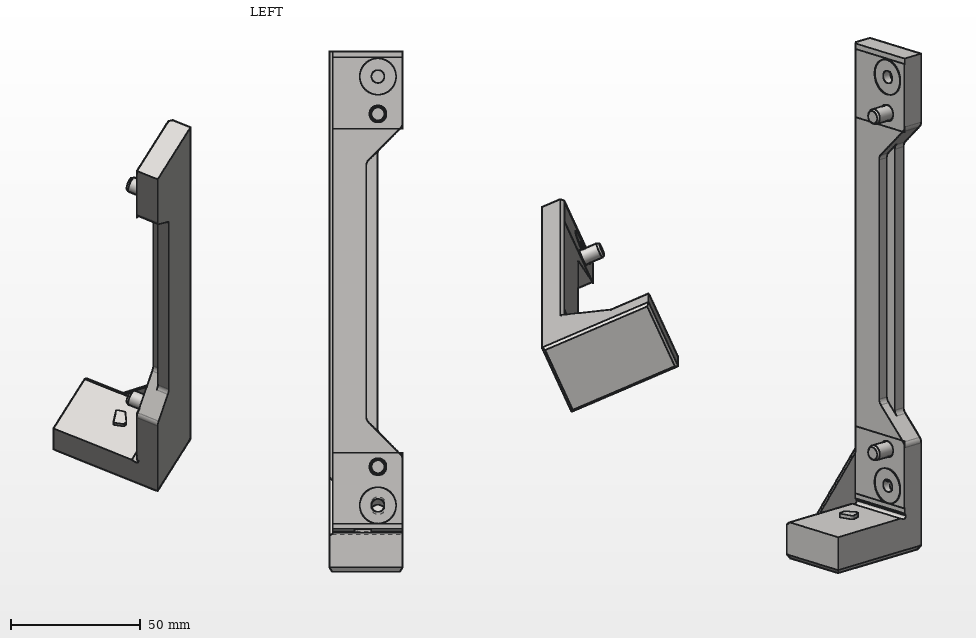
import cadquery as cq

LENGTH = 45.0
WIDTH = 28.2
HEIGHT = 200.6

COLUMN_THICKNESS = 9.0
COLUMN_FACE_X = LENGTH - COLUMN_THICKNESS
FOOT_TOP_Z = 15.0
FOOT_BEVEL_HEIGHT = 1.7
FOOT_BEVEL_INSET = 1.0
COLUMN_CHAMFER = 1.2
FOOT_CHAMFER_WIDTH = 1.5
FOOT_CHAMFER_HEIGHT = 1.2

WAIST_LOW_Z = 44.5
WAIST_HIGH_Z = 171.8
FRONT_LAYER_THICKNESS = 4.2
FRONT_LAYER_EDGE_Y = 14.0
REAR_LAYER_EDGE_Y = 9.6
WAIST_OUTER_RADIUS = 2.9
WAIST_INNER_RADIUS = 3.0

GUSSET_THICKNESS = 1.2
GUSSET_RISE = 20.3
GUSSET_RUN = 19.0
GUSSET_EMBED = 1.2

RELIEF_RUN = 2.2
RELIEF_RISE = 1.6
RELIEF_DEPTH = 0.6

FASTENER_Y = 9.5
PAD_HEIGHT = 0.1
SEAT_DIAMETER = 14.0
SEAT_DEPTH = 0.3
SCREW_HOLE_DIAMETER = 5.0
SCREW_HOLE_DEPTH = 4.0
ELBOW_HALF_LENGTH = 2.2
LOW_SCREW_Z = 25.6
HIGH_SCREW_Z = 190.9
LOW_PIN_Z = 40.5
HIGH_PIN_Z = 176.5
LOW_PAD_Z = (18.6, 45.8)
HIGH_PAD_Z = (170.8, 198.4)

PIN_DIAMETER = 6.0
PIN_PROTRUSION = 8.0
PIN_SEAT_DEPTH = 8.0
PIN_CHAMFER_LENGTH = 1.0
PIN_CHAMFER_RADIAL = 0.5
PIN_HOLE_CHAMFER = 0.3

STOP_HEIGHT = 1.5
STOP_CORNER_RADIUS = 0.5
STOP_CORNERS = [(18.1, 17.9), (21.7, 18.6), (24.3, 14.4), (23.8, 13.0), (19.8, 11.9)]

PICK_MARGIN = 0.1


def box(x_range, y_range, z_range):
    (x0, x1), (y0, y1), (z0, z1) = x_range, y_range, z_range
    return cq.Workplane("XY").box(x1 - x0, y1 - y0, z1 - z0, centered=False).translate((x0, y0, z0))


def x_cylinder(diameter, x_start, x_end, z):
    """Cylinder along X at the fastener line."""
    disc = cq.Workplane("YZ", origin=(x_start, FASTENER_Y, z)).circle(diameter / 2)
    return disc.extrude(x_end - x_start)


def waist_cut(x_start, x_end, edge_y):
    """Trapezoidal recess into the open side of the column, with 45 degree ends."""
    cut = (
        cq.Workplane("YZ", origin=(x_start, 0, 0))
        .moveTo(0, WAIST_LOW_Z)
        .lineTo(edge_y, WAIST_LOW_Z + edge_y)
        .lineTo(edge_y, WAIST_HIGH_Z - edge_y)
        .lineTo(0, WAIST_HIGH_Z)
        .close()
        .extrude(x_end - x_start)
    )
    inner_edges = cq.selectors.BoxSelector(
        (x_start, edge_y - PICK_MARGIN, 0),
        (x_end, edge_y + PICK_MARGIN, HEIGHT),
    )
    return cut.edges("|X").edges(inner_edges).fillet(WAIST_INNER_RADIUS)


def make_column():
    column = box((COLUMN_FACE_X, LENGTH), (0, WIDTH), (FOOT_BEVEL_HEIGHT, HEIGHT))
    column = column.edges("|Z and <X and >Y").chamfer(COLUMN_CHAMFER)
    layer_x = COLUMN_FACE_X + FRONT_LAYER_THICKNESS
    column = column.cut(waist_cut(layer_x, LENGTH, REAR_LAYER_EDGE_Y))
    column = column.cut(waist_cut(COLUMN_FACE_X, layer_x, FRONT_LAYER_EDGE_Y))
    for z in (WAIST_LOW_Z, WAIST_HIGH_Z):
        corner = cq.selectors.BoxSelector(
            (COLUMN_FACE_X, -PICK_MARGIN, z - PICK_MARGIN),
            (LENGTH, PICK_MARGIN, z + PICK_MARGIN),
        )
        column = column.edges(corner).fillet(WAIST_OUTER_RADIUS)
    return column


def make_foot():
    """Block with a bevel around its underside and a chamfer along its closed side."""
    block = box((0, LENGTH), (0, WIDTH), (FOOT_BEVEL_HEIGHT, FOOT_TOP_Z))
    bevel = (
        cq.Workplane("XY", origin=(LENGTH / 2, WIDTH / 2, 0))
        .rect(LENGTH - 2 * FOOT_BEVEL_INSET, WIDTH - 2 * FOOT_BEVEL_INSET)
        .workplane(offset=FOOT_BEVEL_HEIGHT)
        .rect(LENGTH, WIDTH)
        .loft(ruled=True)
    )
    corner = (
        cq.Workplane("YZ")
        .moveTo(WIDTH, FOOT_TOP_Z)
        .lineTo(WIDTH - FOOT_CHAMFER_WIDTH, FOOT_TOP_Z)
        .lineTo(WIDTH, FOOT_TOP_Z - FOOT_CHAMFER_HEIGHT)
        .close()
        .extrude(LENGTH)
    )
    return block.union(bevel).cut(corner)


def make_gusset():
    """Thin triangular web, embedded far enough to fill the chamfers it stands on."""
    return (
        cq.Workplane("XZ", origin=(0, WIDTH, 0))
        .moveTo(COLUMN_FACE_X - GUSSET_RUN - GUSSET_EMBED, FOOT_TOP_Z - GUSSET_EMBED)
        .lineTo(COLUMN_FACE_X + GUSSET_EMBED, FOOT_TOP_Z - GUSSET_EMBED)
        .lineTo(COLUMN_FACE_X + GUSSET_EMBED, FOOT_TOP_Z + GUSSET_RISE + GUSSET_EMBED)
        .close()
        .extrude(GUSSET_THICKNESS)
    )


def make_relief():
    """Shallow groove along the inner corner, sloping gently into the foot."""
    return (
        cq.Workplane("XZ", origin=(0, WIDTH - GUSSET_THICKNESS, 0))
        .moveTo(COLUMN_FACE_X - RELIEF_RUN, FOOT_TOP_Z)
        .lineTo(COLUMN_FACE_X - RELIEF_DEPTH, FOOT_TOP_Z - RELIEF_DEPTH)
        .threePointArc(
            (COLUMN_FACE_X + RELIEF_DEPTH / 2, FOOT_TOP_Z - RELIEF_DEPTH / 2),
            (COLUMN_FACE_X + RELIEF_DEPTH, FOOT_TOP_Z + RELIEF_DEPTH),
        )
        .lineTo(COLUMN_FACE_X, FOOT_TOP_Z + RELIEF_RISE)
        .lineTo(COLUMN_FACE_X - RELIEF_DEPTH, FOOT_TOP_Z + RELIEF_RISE)
        .close()
        .extrude(WIDTH - GUSSET_THICKNESS)
    )


def make_pad(z_range):
    return box((COLUMN_FACE_X - PAD_HEIGHT, COLUMN_FACE_X), (0, WIDTH - COLUMN_CHAMFER), z_range)


def make_screw_hole(z):
    """Recessed seat with a flat-bottomed hole in its middle."""
    mouth_x = COLUMN_FACE_X - PAD_HEIGHT
    seat = x_cylinder(SEAT_DIAMETER, mouth_x, mouth_x + SEAT_DEPTH, z)
    return seat.union(x_cylinder(SCREW_HOLE_DIAMETER, mouth_x, COLUMN_FACE_X + SCREW_HOLE_DEPTH, z))


def make_elbow():
    """Short bore that turns the low hole 45 degrees downward at its inner end."""
    inner_end = cq.Vector(COLUMN_FACE_X + SCREW_HOLE_DEPTH, FASTENER_Y, LOW_SCREW_Z)
    direction = cq.Vector(1, 0, -1).normalized()
    start = inner_end - direction * ELBOW_HALF_LENGTH
    bore = cq.Solid.makeCylinder(SCREW_HOLE_DIAMETER / 2, 2 * ELBOW_HALF_LENGTH, start, direction)
    return cq.Workplane(bore)


def make_pin_hole(z):
    """Blind hole for a dowel pin, with a chamfered mouth."""
    mouth_x = COLUMN_FACE_X - PAD_HEIGHT
    radius = PIN_DIAMETER / 2
    hole = x_cylinder(PIN_DIAMETER, mouth_x, COLUMN_FACE_X + PIN_SEAT_DEPTH, z)
    mouth_center = cq.Vector(mouth_x, FASTENER_Y, z)
    mouth = cq.Solid.makeCone(
        radius + PIN_HOLE_CHAMFER, radius, PIN_HOLE_CHAMFER, mouth_center, cq.Vector(1, 0, 0)
    )
    return hole.union(cq.Workplane(mouth))


def make_stop():
    outline = cq.Workplane("XY", origin=(0, 0, FOOT_TOP_Z)).polyline(STOP_CORNERS).close()
    return outline.extrude(STOP_HEIGHT).edges("|Z").fillet(STOP_CORNER_RADIUS)


def make_bracket():
    body = make_foot().union(make_column()).union(make_gusset())
    for z_range in (LOW_PAD_Z, HIGH_PAD_Z):
        body = body.union(make_pad(z_range))
    body = body.cut(make_relief())
    for z in (LOW_SCREW_Z, HIGH_SCREW_Z):
        body = body.cut(make_screw_hole(z))
    body = body.cut(make_elbow())
    for z in (LOW_PIN_Z, HIGH_PIN_Z):
        body = body.cut(make_pin_hole(z))
    return body.union(make_stop())


def make_pin(z):
    tip_x = COLUMN_FACE_X - PIN_PROTRUSION
    pin = x_cylinder(PIN_DIAMETER, tip_x, COLUMN_FACE_X + PIN_SEAT_DEPTH, z)
    tip_face = pin.faces("<X").val()
    return cq.Workplane(pin.val().chamfer(PIN_CHAMFER_LENGTH, PIN_CHAMFER_RADIAL, tip_face.Edges()))


bracket = make_bracket()
pins = [make_pin(z) for z in (LOW_PIN_Z, HIGH_PIN_Z)]

result = cq.Compound.makeCompound([bracket.val(), *[pin.val() for pin in pins]])